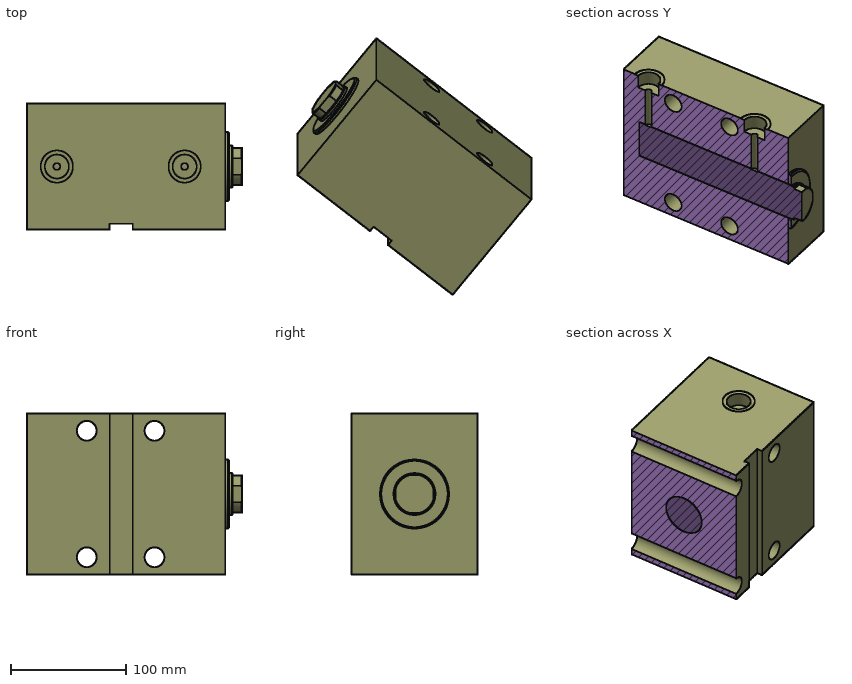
import cadquery as cq

block_length = 172.6
block_depth = 110.0
block_height = 140.0
front_y = -block_depth / 2
top_z = block_height / 2
front_edge_chamfer = 0.28

groove_width = 20.0
groove_depth = 5.0
groove_center_x = 81.9

bolt_hole_diameter = 17.0
bolt_hole_xs = (52.0, 110.9)
bolt_hole_spacing_z = block_depth

port_xs = (26.0, 137.0)
spotface_diameter = 28.0
spotface_depth = 0.4
port_diameter = 21.0
port_depth = 13.3
feed_diameter = 6.0

overall_length = 187.0
rod_diameter = 36.7
rod_start_x = 16.8
shoulder_x = 178.8
shoulder_chamfer = 0.7
tip_diameter = 35.5
tip_across_flats = 32.5
tip_chamfer = 0.7

ring_diameter = 60.2
ring_thickness = 3.4
ring_chamfer = 1.3


def x_axis_cylinder(diameter, start_x, end_x):
    """Cylinder on the rod's centre line between two places along X."""
    cross_section = cq.Plane(origin=(start_x, 0, 0), xDir=(0, 0, 1), normal=(1, 0, 0))
    return cq.Workplane(cross_section).circle(diameter / 2).extrude(end_x - start_x)


def cut_port(body, port_x):
    """Spotface, port and feed passage drilled down from the top face."""
    mouth = cq.Workplane("XY", origin=(port_x, 0, top_z))
    body = body.cut(mouth.circle(spotface_diameter / 2).extrude(-spotface_depth))
    body = body.cut(mouth.circle(port_diameter / 2).extrude(-port_depth))
    return body.cut(mouth.circle(feed_diameter / 2).extrude(-top_z))


def make_block():
    body = cq.Workplane("XY").box(block_length, block_depth, block_height)
    body = body.translate((block_length / 2, 0, 0))
    body = body.faces("<Y").edges("|X").chamfer(front_edge_chamfer)

    groove = cq.Workplane("XY").box(groove_width, 2 * groove_depth, block_height)
    body = body.cut(groove.translate((groove_center_x, front_y, 0)))

    bolt_hole_centers = [
        (x, side * bolt_hole_spacing_z / 2) for x in bolt_hole_xs for side in (-1, 1)
    ]
    bolt_holes = (
        cq.Workplane("XZ", origin=(0, front_y, 0))
        .pushPoints(bolt_hole_centers)
        .circle(bolt_hole_diameter / 2)
        .extrude(-block_depth)
    )
    body = body.cut(bolt_holes)

    for port_x in port_xs:
        body = cut_port(body, port_x)
    return body.cut(x_axis_cylinder(rod_diameter, rod_start_x, block_length))


def make_ring():
    ring_end_x = block_length + ring_thickness
    ring = x_axis_cylinder(ring_diameter, block_length, ring_end_x)
    ring = ring.faces(">X").chamfer(ring_chamfer)
    return ring.cut(x_axis_cylinder(rod_diameter, block_length, ring_end_x))


def make_rod():
    shank = x_axis_cylinder(rod_diameter, rod_start_x, shoulder_x)
    shank = shank.faces(">X").chamfer(shoulder_chamfer)

    tip = x_axis_cylinder(tip_diameter, shoulder_x, overall_length)
    tip = tip.faces(">X").chamfer(tip_chamfer)
    tip_length = overall_length - shoulder_x
    flats = cq.Workplane("XY").box(tip_length, tip_across_flats, tip_across_flats)
    tip = tip.intersect(flats.translate((shoulder_x + tip_length / 2, 0, 0)))
    return shank.union(tip)


block = make_block()
ring = make_ring()
rod = make_rod()

result = cq.Compound.makeCompound([block.val(), ring.val(), rod.val()])